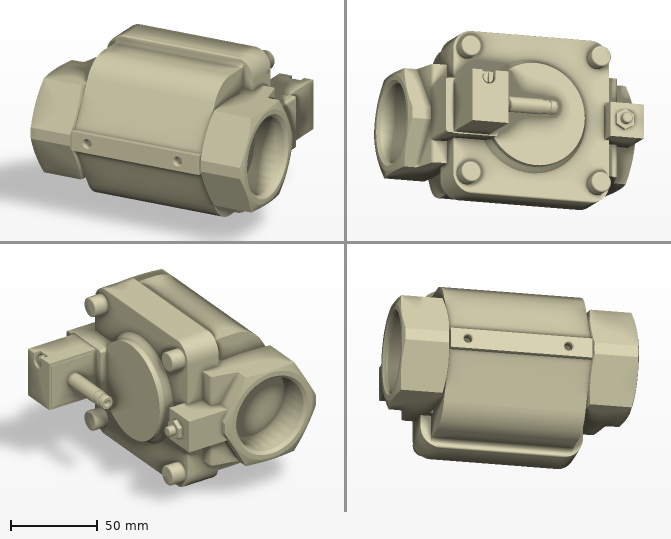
import cadquery as cq
import math


length = 140.0
body_half_length = 41.9
hex_half_flats = 29.1
hex_half_height = 31.6
hex_face_radius = 28.0
hex_chamfer_depth = 1.8

port_rim_radius = 25.0
port_radius = 23.2
port_floor_radius = 22.8
port_chamfer_depth = 1.8
port_depth = 21.0

body_half_width = 43.1
body_arc_radius = 20.7
body_arc_start_y = 5.9
rail_half_width = 5.9
rail_hole_dia = 4.9
rail_hole_rim_dia = 6.0
rail_hole_depth = 5.6
rail_hole_offsets = (-31.8, 27.7)
drill_tip_angle = 118.0

flange_half = 48.0
flange_bottom = 22.1
flange_top = 43.7
flange_corner_radius = 11.8
flange_edge_round = 1.0
flange_root_fillet = 2.4

boss_radius = 30.2
boss_base_radius = 33.5
boss_cone_top = 47.3
boss_top = 51.1

screw_dia = 12.0
screw_top = 52.6
screw_round = 1.0
screw_x = 40.0
screw_z = 37.2

saddle_top = 33.3
saddle_top_half = 56.8
saddle_foot_half = 60.3
saddle_fillet = 2.4
toe_margin = 0.1

override_x = (-65.4, -45.0)
override_half_width = 10.1
override_bottom = 21.0
override_top = 54.3
override_axis_x = -53.0
nut_flats = 10.5
nut_top = 57.1
stud_dia = 6.0
stud_top = 61.5
stud_chamfer = 0.5

base_x = (24.9, 57.4)
base_half_width = 16.1
base_top = 55.3
base_corner_radius = 1.7
lip_start_x = 52.8
lip_top = 57.1

coil_x = (30.1, 52.2)
coil_half_width = 15.3
coil_top = 87.4
pad_thickness = 0.4
pad_y = (57.3, 86.2)
pad_half_width = 13.5

pocket_dia = 8.1
pocket_floor = 82.9
pocket_x = 42.1
pocket_z = 11.2
coil_screw_dia = 6.0
coil_screw_top = 86.0
coil_screw_slot_width = 1.0
coil_screw_slot_depth = 2.1

tube_y = 70.5
tube_dia = 9.0
tube_tip_dia = 8.1
tube_groove_dia = 6.6
tube_end_x = -5.0
tube_end_chamfer = 0.4
tube_end_chamfer_length = 1.1
tube_groove_x = (-1.1, -0.3)
tube_shoulder_x = 3.9
tube_hole_dia = 4.3
tube_hole_depth = 2.8

half_length = length / 2
hex_corner_radius = hex_half_flats / math.cos(math.radians(30))


def block(x_range, y_range, z_range):
    """Box between two limits along each axis."""
    size = [high - low for low, high in (x_range, y_range, z_range)]
    corner = (x_range[0], y_range[0], z_range[0])
    return cq.Workplane("XY").box(*size, centered=False).translate(corner)


def plane_at_y(y):
    """Plane with local axes X and Z, and its normal along +Y."""
    return cq.Plane(origin=(0, y, 0), xDir=(1, 0, 0), normal=(0, 1, 0))


def y_cylinder(x, z, bottom, top, diameter):
    """Upright cylinder along Y; local y on its plane is -Z."""
    return cq.Workplane(plane_at_y(bottom)).center(x, -z).circle(diameter / 2).extrude(top - bottom)


def revolved_about_x(profile):
    """Solid of revolution about X from (x, radius) points; closes along the axis."""
    return cq.Workplane("XY").polyline(profile).close().revolve(360, (0, 0, 0), (1, 0, 0))


def drill_tip(diameter):
    """Length of the conical tip of a drilled hole."""
    return diameter / 2 / math.tan(math.radians(drill_tip_angle / 2))


def hex_end():
    """Pipe end on the +X side: a trimmed hexagon with conical chamfers at both ends."""
    hexagon = (
        cq.Workplane("YZ", origin=(body_half_length, 0, 0))
        .polygon(6, 2 * hex_corner_radius)
        .extrude(half_length - body_half_length)
    )
    trim = block(
        (body_half_length, half_length),
        (-hex_half_height, hex_half_height),
        (-hex_half_flats, hex_half_flats),
    )
    chamfers = revolved_about_x([
        (body_half_length, 0),
        (body_half_length, hex_face_radius),
        (body_half_length + hex_chamfer_depth, hex_corner_radius),
        (half_length - hex_chamfer_depth, hex_corner_radius),
        (half_length, hex_face_radius),
        (half_length, 0),
    ])
    return hexagon.intersect(trim).intersect(chamfers)


def port():
    """Tapered blind bore of the +X pipe end with a chamfered mouth."""
    return revolved_about_x([
        (half_length, 0),
        (half_length, port_rim_radius),
        (half_length - port_chamfer_depth, port_radius),
        (half_length - port_depth, port_floor_radius),
        (half_length - port_depth, 0),
    ])


def valve_body():
    """Body prism along X: straight sides, arcs, 60 degree flanks, a rail and a flared root."""
    flank = math.radians(30)
    arc_center_z = body_half_width - body_arc_radius
    arc_mid = (
        body_arc_start_y - body_arc_radius * math.sin(flank),
        arc_center_z + body_arc_radius * math.cos(flank),
    )
    arc_end = (
        body_arc_start_y - body_arc_radius * math.cos(flank),
        arc_center_z + body_arc_radius * math.sin(flank),
    )
    rail_root_y = arc_end[0] - (arc_end[1] - rail_half_width) * math.tan(flank)
    root_start_y = flange_bottom - flange_root_fillet
    root_mid_offset = flange_root_fillet * math.cos(math.radians(45))
    root_mid = (
        root_start_y + root_mid_offset,
        body_half_width + flange_root_fillet - root_mid_offset,
    )
    half_profile = (
        cq.Workplane("YZ", origin=(-body_half_length, 0, 0))
        .moveTo(-hex_half_height, 0)
        .lineTo(-hex_half_height, rail_half_width)
        .lineTo(rail_root_y, rail_half_width)
        .lineTo(*arc_end)
        .threePointArc(arc_mid, (body_arc_start_y, body_half_width))
        .lineTo(root_start_y, body_half_width)
        .threePointArc(root_mid, (flange_bottom, body_half_width + flange_root_fillet))
        .lineTo(flange_bottom, 0)
        .close()
        .extrude(2 * body_half_length)
    )
    return half_profile.union(half_profile.mirror("XY"))


def rail_hole(x):
    """Countersunk blind hole with a drill tip, sunk into the rail along +Y."""
    rim = rail_hole_rim_dia / 2
    radius = rail_hole_dia / 2
    bottom = rail_hole_depth - hex_half_height
    return (
        cq.Workplane("XY")
        .polyline([
            (0, -hex_half_height),
            (rim, -hex_half_height),
            (radius, -hex_half_height + rim - radius),
            (radius, bottom),
            (0, bottom + drill_tip(rail_hole_dia)),
        ])
        .close()
        .revolve(360, (0, 0, 0), (0, 1, 0))
        .translate((x, 0, 0))
    )


def flange():
    """Cover flange: rounded square whose long +Z and -Z edges are rounded straight across."""
    height = flange_top - flange_bottom
    middle_y = (flange_top + flange_bottom) / 2
    outline = (
        cq.Workplane("XY")
        .box(2 * flange_half, height, 2 * flange_half)
        .edges("|Y")
        .fillet(flange_corner_radius)
    )
    edge_rounds = (
        cq.Workplane("XY")
        .box(2 * flange_half, height, 2 * flange_half)
        .edges("|X")
        .fillet(flange_edge_round)
    )
    return outline.intersect(edge_rounds).translate((0, middle_y, 0))


def cover_boss():
    """Round boss on the flange with a conical foot."""
    return (
        cq.Workplane("XY")
        .polyline([
            (0, flange_bottom),
            (boss_base_radius, flange_bottom),
            (boss_base_radius, flange_top),
            (boss_radius, boss_cone_top),
            (boss_radius, boss_top),
            (0, boss_top),
        ])
        .close()
        .revolve(360, (0, 0, 0), (0, 1, 0))
    )


def cover_screw(x, z):
    """Rounded screw head standing on the flange."""
    return y_cylinder(x, z, flange_bottom, screw_top, screw_dia).faces(">Y").fillet(screw_round)


def saddle():
    """Web between the flats, sloping from the flange down onto both pipe ends.

    Its underside steps up to leave the inner chamfers of the pipe ends open.
    """
    foot_y = hex_corner_radius / 2
    slope_angle = math.atan2(saddle_top - foot_y, saddle_foot_half - saddle_top_half)
    toe_half = saddle_foot_half + saddle_fillet * math.tan(slope_angle / 2) + toe_margin
    relief_half = body_half_length + hex_chamfer_depth
    web = (
        cq.Workplane("XY", origin=(0, 0, -hex_half_flats))
        .polyline([
            (-toe_half, 0),
            (-toe_half, foot_y),
            (-saddle_foot_half, foot_y),
            (-saddle_top_half, saddle_top),
            (saddle_top_half, saddle_top),
            (saddle_foot_half, foot_y),
            (toe_half, foot_y),
            (toe_half, 0),
            (relief_half, 0),
            (relief_half, foot_y),
            (-relief_half, foot_y),
            (-relief_half, 0),
        ])
        .close()
        .extrude(2 * hex_half_flats)
    )
    for side in (-1, 1):
        for bend_x, bend_y in ((saddle_foot_half, foot_y), (saddle_top_half, saddle_top)):
            bend = cq.NearestToPointSelector((side * bend_x, bend_y, 0))
            web = web.edges(bend).fillet(saddle_fillet)
    return web


def override_block():
    """Manual override: block, hexagon nut and chamfered stud."""
    housing = block(
        override_x,
        (override_bottom, override_top),
        (-override_half_width, override_half_width),
    )
    nut = (
        cq.Workplane(plane_at_y(override_top))
        .center(override_axis_x, 0)
        .transformed(rotate=(0, 0, 30))
        .polygon(6, nut_flats / math.cos(math.radians(30)))
        .extrude(nut_top - override_top)
    )
    stud = y_cylinder(override_axis_x, 0, override_top, stud_top, stud_dia)
    return housing.union(nut).union(stud.faces(">Y").chamfer(stud_chamfer))


def solenoid_base():
    """Base under the coil with rounded upright corners and a raised lip on +X."""
    width = (-base_half_width, base_half_width)
    base = block(base_x, (hex_half_height, lip_top), width).edges("|Y").fillet(base_corner_radius)
    step = block((base_x[0], lip_start_x), (base_top, lip_top), width)
    return base.cut(step)


def coil():
    """Coil block with a raised pad on -X and a screw in a pocket open to +Y and +Z."""
    body = block(coil_x, (base_top, coil_top), (-coil_half_width, coil_half_width))
    pad = block((coil_x[0] - pad_thickness, coil_x[0]), pad_y, (-pad_half_width, pad_half_width))
    pocket = y_cylinder(pocket_x, pocket_z, pocket_floor, coil_top, pocket_dia)
    pocket_mouth = block(
        (pocket_x - pocket_dia / 2, pocket_x + pocket_dia / 2),
        (pocket_floor, coil_top),
        (pocket_z, coil_half_width),
    )
    screw = y_cylinder(pocket_x, pocket_z, pocket_floor, coil_screw_top, coil_screw_dia)
    screw_slot = block(
        (pocket_x - coil_screw_slot_width / 2, pocket_x + coil_screw_slot_width / 2),
        (coil_screw_top - coil_screw_slot_depth, coil_screw_top),
        (pocket_z - coil_screw_dia / 2, pocket_z + coil_screw_dia / 2),
    )
    return body.union(pad).cut(pocket).cut(pocket_mouth).union(screw.cut(screw_slot))


def armature_tube():
    """Stepped tube along X with a grooved tip and a drilled end hole."""
    tip = tube_tip_dia / 2
    groove = tube_groove_dia / 2
    hole = tube_hole_dia / 2
    hole_bottom = tube_end_x + tube_hole_depth
    return revolved_about_x([
        (hole_bottom + drill_tip(tube_hole_dia), 0),
        (hole_bottom, hole),
        (tube_end_x, hole),
        (tube_end_x, tip - tube_end_chamfer),
        (tube_end_x + tube_end_chamfer_length, tip),
        (tube_groove_x[0], tip),
        (tube_groove_x[0], groove),
        (tube_groove_x[1], groove),
        (tube_groove_x[1], tip),
        (tube_shoulder_x, tip),
        (tube_shoulder_x, tube_dia / 2),
        (coil_x[0], tube_dia / 2),
        (coil_x[0], 0),
    ]).translate((0, tube_y, 0))


result = valve_body().union(saddle()).union(flange()).union(cover_boss())

for x in (-screw_x, screw_x):
    for z in (-screw_z, screw_z):
        result = result.union(cover_screw(x, z))

result = result.union(hex_end()).union(hex_end().mirror("YZ"))
result = result.union(override_block())
result = result.union(solenoid_base()).union(coil()).union(armature_tube())
result = result.cut(port()).cut(port().mirror("YZ"))

for x in rail_hole_offsets:
    result = result.cut(rail_hole(x))